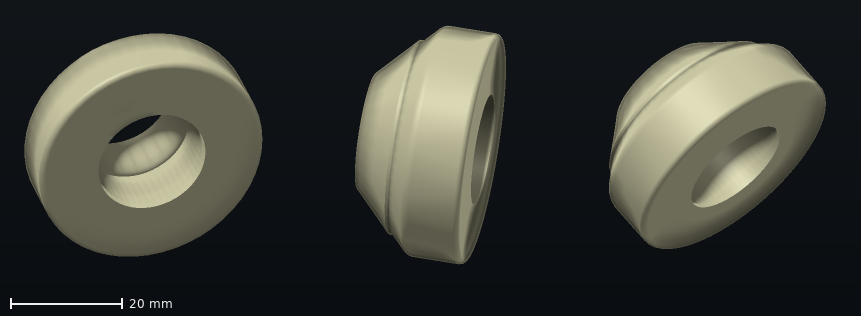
import cadquery as cq
import math

overall_length = 21.2
outer_radius = 21.0

nose_round = 0.38
band_start_x = 7.0
core_radius = 17.72

bore_radius = 10.05
wide_bore_radius = 11.05
wide_bore_end_x = 9.45
step_round = 1.0

collar_front_x = 7.75
shoulder_round = 1.97
rear_round = 1.0

sin_45 = math.sin(math.radians(45))


def revolve_about_x(profile):
    """Turn a closed (x, radius) profile a full turn about the X axis."""
    return profile.close().revolve(360, (0, 0, 0), (1, 0, 0))


def make_core():
    """Conical core with a widening bore and a smooth inner step."""
    nose_tangent_x = nose_round * (1 - sin_45)
    nose_tangent_radius = bore_radius + nose_round * (1 + sin_45)

    taper_angle = math.atan2(wide_bore_radius - bore_radius, wide_bore_end_x - nose_round)
    step_height = wide_bore_radius - bore_radius
    step_angle = math.acos((1 + math.cos(taper_angle) - step_height / step_round) / 2)
    step_middle_x = wide_bore_end_x + step_round * (math.sin(taper_angle) + math.sin(step_angle))
    step_middle_radius = bore_radius + step_round * (1 - math.cos(step_angle))
    step_end_x = step_middle_x + step_round * math.sin(step_angle)

    profile = (
        cq.Workplane("XY")
        .moveTo(nose_round, bore_radius)
        .threePointArc((0, bore_radius + nose_round), (nose_tangent_x, nose_tangent_radius))
        .lineTo(band_start_x, core_radius)
        .lineTo(overall_length, core_radius)
        .lineTo(overall_length, bore_radius)
        .lineTo(step_end_x, bore_radius)
        .radiusArc((step_middle_x, step_middle_radius), step_round)
        .radiusArc((wide_bore_end_x, wide_bore_radius), -step_round)
    )
    return revolve_about_x(profile)


def make_collar():
    """Ring around the core with a 45 degree front and rounded outer edges."""
    tangent_radius = outer_radius - shoulder_round * (1 - sin_45)
    tangent_x = collar_front_x + tangent_radius - core_radius
    shoulder_end_x = tangent_x + shoulder_round * sin_45
    profile = (
        cq.Workplane("XY")
        .moveTo(collar_front_x, core_radius)
        .lineTo(tangent_x, tangent_radius)
        .radiusArc((shoulder_end_x, outer_radius), shoulder_round)
        .lineTo(overall_length - rear_round, outer_radius)
        .radiusArc((overall_length, outer_radius - rear_round), rear_round)
        .lineTo(overall_length, core_radius)
    )
    return revolve_about_x(profile)


core = make_core()
collar = make_collar()
result = cq.Compound.makeCompound([core.val(), collar.val()])